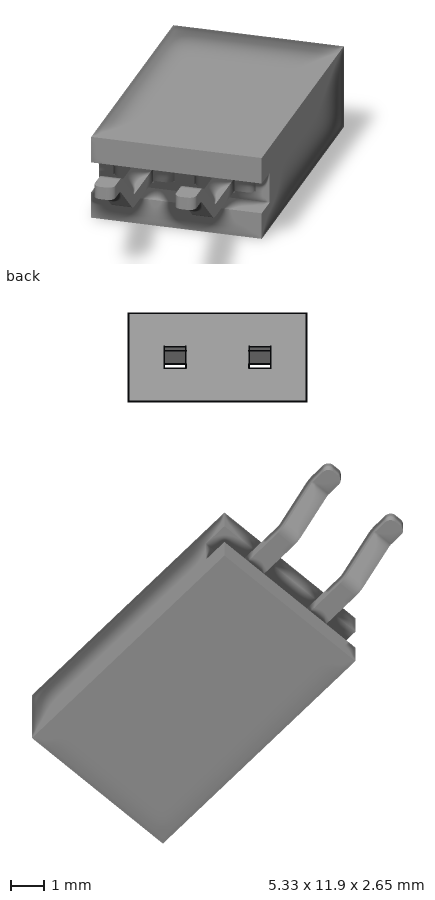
import cadquery as cq
import math

housing_width = 5.33
housing_length = 8.5
housing_height = 2.65
channel_depth = 0.82
channel_height = 0.98
pin_hole_side = 0.64

contact_count = 2
contact_pitch = 2.53
sheet = 0.4
tail_width = 0.64
tail_reach = 3.4
first_bend_reach = 1.31
second_bend_reach = 2.63
inner_bend_radius = 0.1
tip_radius = 0.21
blade_width = 1.9
blade_depth = 1.9
blade_protrusion = 0.1
blade_corner_radius = 0.25

total_length = housing_length + tail_reach
housing_back_y = total_length / 2
housing_front_y = housing_back_y - housing_length
channel_floor_y = housing_front_y + channel_depth
blade_back_y = channel_floor_y + blade_depth
blade_front_y = channel_floor_y - blade_protrusion
tip_y = housing_front_y - tail_reach
first_bend_y = housing_front_y - first_bend_reach
second_bend_y = housing_front_y - second_bend_reach
foot_z = (housing_height - sheet) / 2
contact_xs = [(i - (contact_count - 1) / 2) * contact_pitch for i in range(contact_count)]


def box_between_y(width, height, front_y, back_y, center_x=0):
    """Box centred on Z = 0 that runs from front_y to back_y."""
    length = back_y - front_y
    return cq.Workplane("XY").box(width, length, height).translate((center_x, front_y + length / 2, 0))


def make_housing():
    body = box_between_y(housing_width, housing_height, housing_front_y, housing_back_y)
    body = body.cut(box_between_y(housing_width, channel_height, housing_front_y, channel_floor_y))
    for x in contact_xs:
        body = body.cut(box_between_y(pin_hole_side, pin_hole_side, channel_floor_y, housing_back_y, x))
        body = body.cut(box_between_y(blade_width, sheet, channel_floor_y, blade_back_y, x))
    return body


def make_tail():
    """Flat strip with two opposite bends, ending in a raised foot with rounded corners."""
    half = sheet / 2
    bend_angle = math.atan2(foot_z, first_bend_y - second_bend_y)
    miter = half * math.tan(bend_angle / 2)
    profile = [
        (blade_front_y, half),
        (first_bend_y + miter, half),
        (second_bend_y + miter, foot_z + half),
        (tip_y, foot_z + half),
        (tip_y, foot_z - half),
        (second_bend_y - miter, foot_z - half),
        (first_bend_y - miter, -half),
        (blade_front_y, -half),
    ]
    tail = cq.Workplane("YZ").polyline(profile).close().extrude(tail_width / 2, both=True)

    def bend_edge(y, z):
        return cq.selectors.NearestToPointSelector((0, y, z))

    for inner, outer in ((profile[1], profile[6]), (profile[5], profile[2])):
        tail = tail.edges("|X").edges(bend_edge(*inner)).fillet(inner_bend_radius)
        tail = tail.edges("|X").edges(bend_edge(*outer)).fillet(inner_bend_radius + sheet)
    return tail.faces("<Y").edges("|Z").fillet(tip_radius)


def make_contact(center_x):
    blade = box_between_y(blade_width, sheet, blade_front_y, blade_back_y)
    blade = blade.faces("<Y").edges("|Z").fillet(blade_corner_radius)
    return blade.union(make_tail()).translate((center_x, 0, 0))


housing = make_housing()
contacts = [make_contact(x) for x in contact_xs]

result = cq.Compound.makeCompound([housing.val(), *[contact.val() for contact in contacts]])